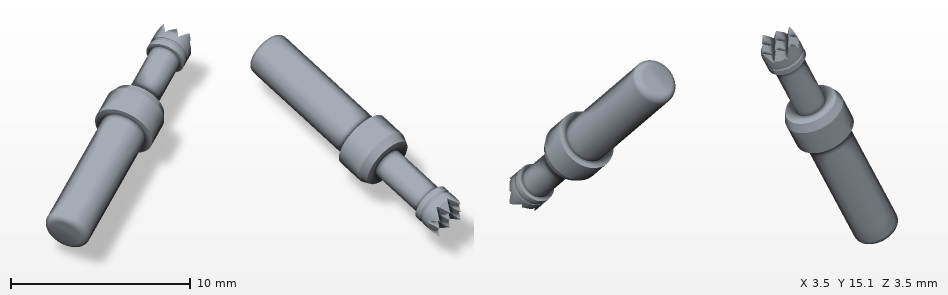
import cadquery as cq
import math

length = 15.1
tip_y = length / 2
tail_y = -length / 2

crown_radius = 1.15
groove_radius = 1.1
stem_radius = 0.9
flange_radius = 1.75
body_radius = 1.33

groove_start = 1.07
groove_floor_end = 1.2
groove_end = 1.3
crown_length = 1.6
flange_start = 5.1
flange_end = 7.2

flange_bevel_radial = 0.23
flange_bevel_axial = 0.5
tail_fillet = 0.4

teeth_per_row = 3
tooth_pitch = 0.8
tooth_angle = 60.0
flank_slope = 1 / math.tan(math.radians(tooth_angle / 2))
cut_overshoot = 0.3


def turned_blank():
    """Revolve the half outline of crown, stem, flange and body about the Y axis."""
    outline = (
        cq.Workplane("XY")
        .moveTo(0, tip_y)
        .lineTo(crown_radius, tip_y)
        .lineTo(crown_radius, tip_y - groove_start)
        .lineTo(groove_radius, tip_y - groove_start)
        .lineTo(groove_radius, tip_y - groove_floor_end)
        .lineTo(crown_radius, tip_y - groove_end)
        .lineTo(crown_radius, tip_y - crown_length)
        .lineTo(stem_radius, tip_y - crown_length)
        .lineTo(stem_radius, tip_y - flange_start)
        .lineTo(flange_radius - flange_bevel_radial, tip_y - flange_start)
        .lineTo(flange_radius, tip_y - flange_start - flange_bevel_axial)
        .lineTo(flange_radius, tip_y - flange_end)
        .lineTo(body_radius, tip_y - flange_end)
        .lineTo(body_radius, tail_y)
        .lineTo(0, tail_y)
        .close()
    )
    blank = outline.revolve(360, (0, 0, 0), (0, 1, 0))
    return blank.faces("<Y").edges().fillet(tail_fillet)


def tooth_groove(center_x):
    """V-shaped cutter along Z whose floor lies midway between two rows of tips."""
    half_width = tooth_pitch / 2
    floor_y = tip_y - half_width * flank_slope
    mouth_half = half_width + cut_overshoot / flank_slope
    mouth_y = tip_y + cut_overshoot
    return (
        cq.Workplane("XY")
        .moveTo(center_x, floor_y)
        .lineTo(center_x + mouth_half, mouth_y)
        .lineTo(center_x - mouth_half, mouth_y)
        .close()
        .extrude(crown_radius + cut_overshoot, both=True)
    )


def cut_teeth(blank):
    """Cut V-grooves across both directions, leaving a square grid of pyramids."""
    toothed = blank
    groove_count = teeth_per_row + 1
    for index in range(groove_count):
        center_x = (index - (groove_count - 1) / 2) * tooth_pitch
        groove = tooth_groove(center_x)
        toothed = toothed.cut(groove)
        toothed = toothed.cut(groove.rotate((0, 0, 0), (0, 1, 0), 90))
    return toothed


result = cut_teeth(turned_blank())